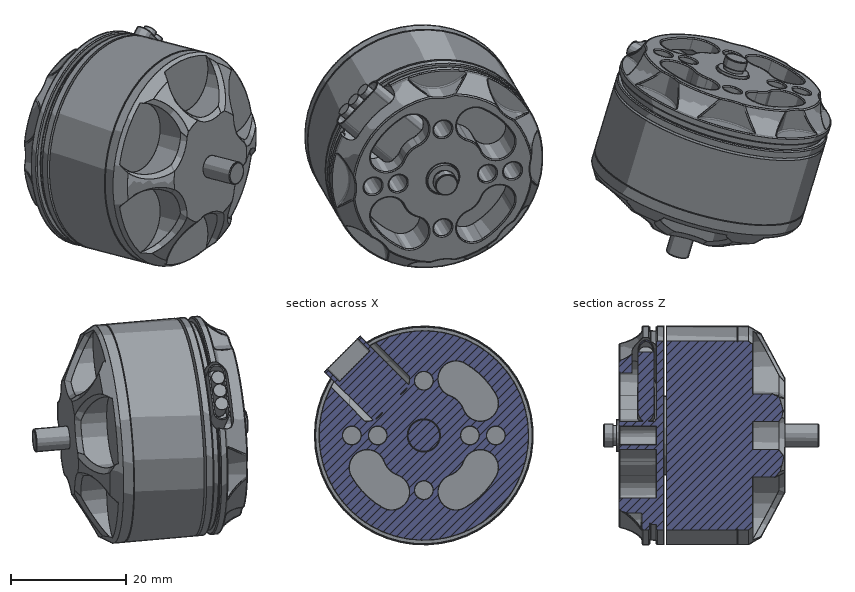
import cadquery as cq
import math


BODY_R = 19.0
EDGE_CHAMFER = 0.2

SHAFT_R = 2.0
SHAFT_START = -2.68
SHAFT_LENGTH = 37.42
SHAFT_END_CHAMFER = 0.15
RETAINER_START = -1.0
RETAINER_R = 1.77
COLLAR_START = -0.38
COLLAR_R = 2.77
COLLAR_BORE_R = 2.84

FACE_R = 16.1
FLARE_MID = (2.0, 16.95)
RIM_START = 4.0
RIM_END = 5.36
UNDERCUT_END = 5.55
UNDERCUT_R = 18.0
NECK_R = 18.2
PLATE_START = 6.47
PLATE_END = 7.8

SCALLOP_COUNT = 8
SCALLOP_R = 7.0
SCALLOP_CENTRE_R = 22.65
SCALLOP_FLOOR_FILLET = 0.2
SCALLOP_EDGE_CHAMFER = 0.15
LONG_CUP_LENGTH = RIM_START + 0.6

SCREW_R = 1.6
SCREW_Z = 9.5
SCREW_Y = (8.0, 12.5)

WINDOW_COUNT = 4
LOBE_R = 3.1
LOBE_RADIAL = 10.9
LOBE_OFFSET = 3.0
WAIST_RADIAL = 8.45

OUTLET_ANGLE = 45.0
SLEEVE_X = 4.69
SLEEVE_WIDTH = 10.07
SLEEVE_THICKNESS = 2.92
SLEEVE_WALL = 0.25
SLEEVE_START = 7.9
SLEEVE_END = 20.0
SLEEVE_BORE_DEPTH = 3.0
WIRE_COUNT = 3
WIRE_R = 1.15
WIRE_PITCH = 2.37
WIRE_END = 21.0
TUNNEL_WIDTH = 12.2
TUNNEL_X_MIN = 2.28
TUNNEL_START = 11.0
TUNNEL_THICKNESS = PLATE_START - TUNNEL_X_MIN
TUNNEL_X = (PLATE_START + TUNNEL_X_MIN) / 2
TROUGH_START = 6.0

HUB_R = 6.83
BELL_START = 8.24
BELL_SEAM = 20.6
SEAM_WIDTH = 0.12
SEAM_DEPTH = 0.1
BELL_RIM_END = 22.47
CROWN_FLOOR = 23.24
SHOULDER = (24.65, 17.7)
BELL_END = 28.8
CROWN_TOP_R = 9.95

POCKET_COUNT = 6
POCKET_R = 6.15
POCKET_INNER_R = 9.0
POCKET_BEVEL_WIDTH = 0.6
POCKET_BEVEL_DEPTH = 1.0


def turned(points):
    """Revolve a closed (x, radius) outline about the X axis."""
    return cq.Workplane("XY").polyline(points).close().revolve(360, (0, 0, 0), (1, 0, 0))


def disc(x_start, x_end, radius):
    return cq.Workplane("YZ").workplane(offset=x_start).circle(radius).extrude(x_end - x_start)


def around_x(solid, angle):
    return solid.rotate((0, 0, 0), (1, 0, 0), angle)


def make_rim():
    """Rim, neck and stator plate behind the flared cup."""
    c = EDGE_CHAMFER
    return turned([
        (RIM_START, 0),
        (RIM_START, BODY_R - c),
        (RIM_START + c, BODY_R),
        (RIM_END - c, BODY_R),
        (RIM_END, BODY_R - c),
        (RIM_END, UNDERCUT_R),
        (UNDERCUT_END, UNDERCUT_R),
        (UNDERCUT_END, NECK_R),
        (PLATE_START, NECK_R),
        (PLATE_START, BODY_R - c),
        (PLATE_START + c, BODY_R),
        (PLATE_END, BODY_R),
        (PLATE_END, 0),
    ])


def make_long_cup():
    """Cup that flares out to the rim and then keeps widening as a cone."""
    flare_end_r = BODY_R - EDGE_CHAMFER
    return (
        cq.Workplane("XY")
        .lineTo(0, FACE_R)
        .threePointArc(FLARE_MID, (RIM_START, flare_end_r))
        .lineTo(LONG_CUP_LENGTH, flare_end_r + LONG_CUP_LENGTH - RIM_START)
        .lineTo(LONG_CUP_LENGTH, 0)
        .close()
        .revolve(360, (0, 0, 0), (1, 0, 0))
    )


def cut_scallops(cup, scallop):
    """Bite scallops from the cup, leaving out the position of the wire outlet."""
    step = 360 / SCALLOP_COUNT
    for i in range(SCALLOP_COUNT):
        if i * step != OUTLET_ANGLE:
            cup = cup.cut(around_x(scallop, i * step))
    return cup


def make_scalloped_cup():
    """Cup with bevelled scallops and a fillet where each scallop meets the rim."""
    scallop = disc(0, LONG_CUP_LENGTH, SCALLOP_R).translate((0, SCALLOP_CENTRE_R, 0))
    cup = cut_scallops(make_long_cup(), scallop)
    cup = cup.edges().filter(is_flare_edge).chamfer(SCALLOP_EDGE_CHAMFER)
    cup = cup.intersect(disc(0, RIM_START, BODY_R))

    filleted = disc(0, RIM_START, SCALLOP_R).faces(">X").edges().fillet(SCALLOP_FLOOR_FILLET)
    filleted = filleted.translate((0, SCALLOP_CENTRE_R, 0))
    fillet_layer = disc(RIM_START - SCALLOP_FLOOR_FILLET, RIM_START, BODY_R)
    return cup.union(cut_scallops(make_long_cup().intersect(fillet_layer), filleted))


def is_flare_edge(edge):
    """True for the curved edges where the scallops cut the flare."""
    return edge.geomType() == "BSPLINE"


def make_window(depth):
    """Two round lobes joined by a concentric outer arc and a waist arc tangent to both lobes."""
    lobe_pitch_r = math.hypot(LOBE_RADIAL, LOBE_OFFSET)
    outer_r = lobe_pitch_r + LOBE_R
    outer_u = LOBE_RADIAL * outer_r / lobe_pitch_r
    outer_v = LOBE_OFFSET * outer_r / lobe_pitch_r

    lobe_rise = LOBE_RADIAL - WAIST_RADIAL
    waist_r = (lobe_rise**2 + LOBE_OFFSET**2 - LOBE_R**2) / (2 * (LOBE_R - lobe_rise))
    waist_centre = WAIST_RADIAL - waist_r
    share = waist_r / (waist_r + LOBE_R)
    joint_u = waist_centre + share * (LOBE_RADIAL - waist_centre)
    joint_v = share * LOBE_OFFSET

    tip_angle = math.radians(100)
    tip_u = LOBE_RADIAL + LOBE_R * math.cos(tip_angle)
    tip_v = LOBE_OFFSET + LOBE_R * math.sin(tip_angle)
    return (
        cq.Workplane("YZ")
        .moveTo(outer_u, -outer_v)
        .threePointArc((outer_r, 0), (outer_u, outer_v))
        .threePointArc((tip_u, tip_v), (joint_u, joint_v))
        .threePointArc((WAIST_RADIAL, 0), (joint_u, -joint_v))
        .threePointArc((tip_u, -tip_v), (outer_u, -outer_v))
        .close()
        .extrude(depth)
    )


def cut_face_openings(base):
    """Windows, screw holes and the collar bore, ending at the stator plate."""
    step = 360 / WINDOW_COUNT
    window = make_window(PLATE_START)
    for i in range(1, WINDOW_COUNT):
        base = base.cut(around_x(window, OUTLET_ANGLE + i * step))

    shallow_window = around_x(make_window(TUNNEL_X), OUTLET_ANGLE)
    trough = tunnel_bar(TROUGH_START).intersect(around_x(window, OUTLET_ANGLE))
    base = base.cut(shallow_window).cut(trough)

    hole_points = [(0, SCREW_Z), (0, -SCREW_Z)]
    for y in SCREW_Y:
        hole_points += [(y, 0), (-y, 0)]
    holes = cq.Workplane("YZ").pushPoints(hole_points).circle(SCREW_R).extrude(PLATE_START)
    return base.cut(holes).cut(disc(0, PLATE_START, COLLAR_BORE_R))


def outlet_bar(width, thickness, x_centre, start, end):
    """Flat bar with rounded sides, running outwards along the wire outlet direction."""
    bar = (
        cq.Workplane("XY")
        .workplane(offset=start)
        .center(x_centre, 0)
        .slot2D(width, thickness, 90)
        .extrude(end - start)
    )
    return around_x(bar, OUTLET_ANGLE - 90)


def tunnel_bar(start):
    return outlet_bar(TUNNEL_WIDTH, TUNNEL_THICKNESS, TUNNEL_X, start, BODY_R + 1)


def make_sleeve():
    """Sleeve with an open outer end and the wires standing in it."""
    sleeve = outlet_bar(SLEEVE_WIDTH, SLEEVE_THICKNESS, SLEEVE_X, SLEEVE_START, SLEEVE_END)
    bore_floor = SLEEVE_END - SLEEVE_BORE_DEPTH
    bore_width = SLEEVE_WIDTH - 2 * SLEEVE_WALL
    bore_thickness = SLEEVE_THICKNESS - 2 * SLEEVE_WALL
    sleeve = sleeve.cut(outlet_bar(bore_width, bore_thickness, SLEEVE_X, bore_floor, SLEEVE_END))
    wires = (
        cq.Workplane("XY")
        .workplane(offset=bore_floor)
        .center(SLEEVE_X, 0)
        .rarray(1, WIRE_PITCH, 1, WIRE_COUNT)
        .circle(WIRE_R)
        .extrude(WIRE_END - bore_floor)
    )
    return sleeve.union(around_x(wires, OUTLET_ANGLE - 90))


def make_base():
    cup = cut_face_openings(make_scalloped_cup())
    cup = cup.faces("<X").edges().chamfer(EDGE_CHAMFER)
    base = cut_face_openings(cup.union(make_rim()))
    return base.cut(tunnel_bar(TUNNEL_START)).union(make_sleeve())


def cone_radius(x):
    """Radius of the crown cone, continued in both directions."""
    shoulder_x, shoulder_r = SHOULDER
    return CROWN_TOP_R + (BELL_END - x) * (shoulder_r - CROWN_TOP_R) / (BELL_END - shoulder_x)


def is_pocket_rim(edge):
    """True for the edges where pocket walls meet the crown cone or its flat top."""
    if edge.geomType() != "CIRCLE":
        return edge.geomType() in ("HYPERBOLA", "BSPLINE")
    on_top = edge.Center().x > BELL_END - POCKET_BEVEL_DEPTH
    return on_top and math.isclose(edge.radius(), POCKET_R, rel_tol=1e-3)


def make_crown():
    """Cone above the pocket floor, with bevelled pockets."""
    crown = turned([
        (CROWN_FLOOR, 0),
        (CROWN_FLOOR, cone_radius(CROWN_FLOOR)),
        (BELL_END, CROWN_TOP_R),
        (BELL_END, 0),
    ])
    pocket = disc(CROWN_FLOOR, BELL_END, POCKET_R).translate((0, POCKET_INNER_R + POCKET_R, 0))
    for i in range(POCKET_COUNT):
        crown = crown.cut(around_x(pocket, 90 + i * 360 / POCKET_COUNT))
    return crown.edges().filter(is_pocket_rim).chamfer(POCKET_BEVEL_DEPTH, POCKET_BEVEL_WIDTH)


def make_bell():
    shell = turned([
        (BELL_START, 0),
        (BELL_START, BODY_R),
        (BELL_RIM_END, BODY_R),
        SHOULDER,
        (BELL_END, CROWN_TOP_R),
        (BELL_END, 0),
    ])
    solid_part = disc(BELL_START, CROWN_FLOOR, BODY_R)
    seam_start = BELL_SEAM - SEAM_WIDTH / 2
    seam_end = BELL_SEAM + SEAM_WIDTH / 2
    seam = disc(seam_start, seam_end, BODY_R + 1).cut(disc(seam_start, seam_end, BODY_R - SEAM_DEPTH))
    return shell.intersect(solid_part).union(shell.intersect(make_crown())).cut(seam)


def make_shaft():
    shaft = disc(SHAFT_START, SHAFT_START + SHAFT_LENGTH, SHAFT_R)
    shaft = shaft.faces("<X or >X").edges().chamfer(SHAFT_END_CHAMFER)
    ring = disc(RETAINER_START, COLLAR_START, SHAFT_R).cut(disc(RETAINER_START, COLLAR_START, RETAINER_R))
    return shaft.cut(ring).union(disc(COLLAR_START, PLATE_START, COLLAR_R))


hub = disc(PLATE_END, BELL_START, HUB_R)
result = make_base().union(hub).union(make_bell()).union(make_shaft())